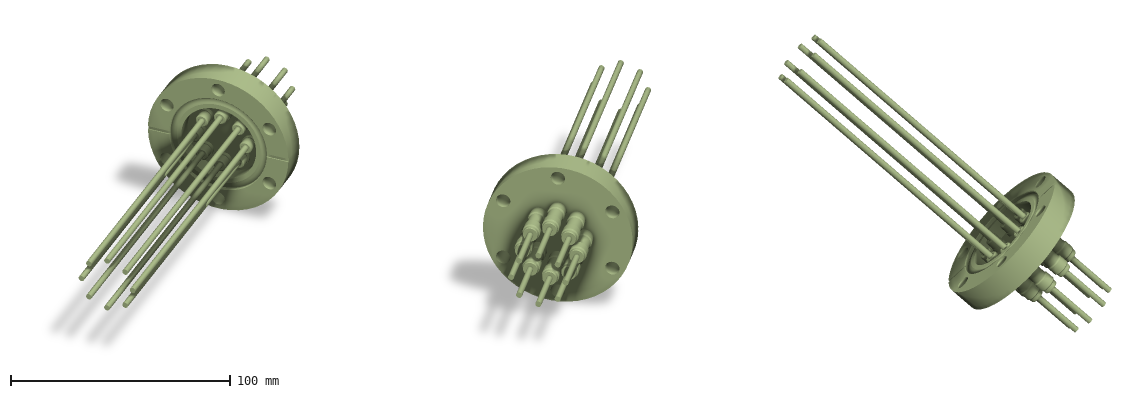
import cadquery as cq
length = 184.2
wire_front = -length / 2
wire_rear = length / 2
flange_thickness = 12.7
rear_wire_length = 43.5
flange_rear = wire_rear - rear_wire_length
flange_front = flange_rear - flange_thickness

flange_diameter = 69.8
flange_radius = flange_diameter / 2
bolt_count = 6
bolt_circle_diameter = 58.7
bolt_circle_radius = bolt_circle_diameter / 2
bolt_hole_diameter = 6.6
leak_groove_width = 1.7
leak_groove_depth = 0.5

recess_radius = 24.0
recess_rim_chamfer = 0.4
recess_depth = 1.75
knife_break_radius = 22.1
knife_break_depth = 1.1
knife_radius = 20.8
knife_depth = 0.66
bore_radius = 18.6
bore_depth = 8.0

feed_count = 8
feed_circle_radius = 12.7
wire_radius = 1.38
tube_radius = 3.5
collar_radius = 4.0
edge_chamfer = 0.5
base_length = 4.8
collar_start = 11.5
collar_end = 16.8
tube_rear_length = 18.8
end_taper = 0.2
end_taper_length = 0.5

tube_front_length = 6.3
shoulder_length = 1.8
nose_radius = 3.04
front_chamfer = 0.46
cup_radius = 1.8
cup_depth = 0.5


def depth(below_front):
    """Y position at a depth below the flange's front face."""
    return flange_front + below_front


def revolve_about_y(outline):
    """Solid of revolution about Y from (radius, y) points."""
    points = [(y, radius) for radius, y in outline]
    return cq.Workplane("YZ").polyline(points).close().revolve(360, (0, 0, 0), (1, 0, 0))


def make_blank():
    return (
        cq.Workplane("XZ", origin=(0, flange_front, 0))
        .circle(flange_radius)
        .extrude(-flange_thickness)
    )


def make_recess():
    outline = [
        (0, flange_front),
        (recess_radius + recess_rim_chamfer, flange_front),
        (recess_radius, depth(recess_rim_chamfer)),
        (recess_radius, depth(recess_depth)),
        (knife_break_radius, depth(knife_break_depth)),
        (knife_radius, depth(knife_depth)),
        (bore_radius, depth(knife_depth)),
        (bore_radius, depth(bore_depth)),
        (0, depth(bore_depth)),
    ]
    return revolve_about_y(outline)


def make_bolt_holes():
    return (
        cq.Workplane("XZ", origin=(0, flange_front, 0))
        .polarArray(bolt_circle_radius, 90, 360, bolt_count)
        .circle(bolt_hole_diameter / 2)
        .extrude(-flange_thickness)
    )


def make_leak_groove():
    """Bar across the front face; it is longer than the flange so that it cuts through the rim."""
    return (
        cq.Workplane("XY", origin=(0, flange_front, 0))
        .box(3 * flange_radius, 2 * leak_groove_depth, leak_groove_width)
    )


def make_feedthrough():
    floor = depth(bore_depth)
    tube_front = floor - tube_front_length
    tube_rear = flange_rear + tube_rear_length
    outline = [
        (0, wire_front),
        (wire_radius, wire_front),
        (wire_radius, tube_front + cup_depth),
        (cup_radius, tube_front + cup_depth),
        (cup_radius, tube_front),
        (nose_radius - front_chamfer, tube_front),
        (nose_radius, tube_front + front_chamfer),
        (nose_radius, floor - shoulder_length),
        (tube_radius, floor - shoulder_length),
        (tube_radius, flange_rear),
        (collar_radius, flange_rear),
        (collar_radius, flange_rear + base_length - edge_chamfer),
        (tube_radius, flange_rear + base_length),
        (tube_radius, flange_rear + collar_start),
        (collar_radius, flange_rear + collar_start + edge_chamfer),
        (collar_radius, flange_rear + collar_end - edge_chamfer),
        (tube_radius, flange_rear + collar_end),
        (tube_radius, tube_rear - end_taper_length),
        (tube_radius - end_taper, tube_rear),
        (wire_radius, tube_rear),
        (wire_radius, wire_rear),
        (0, wire_rear),
    ]
    return revolve_about_y(outline)


result = make_blank().cut(make_leak_groove()).cut(make_bolt_holes()).cut(make_recess())
feedthrough = make_feedthrough().translate((0, 0, feed_circle_radius))
for i in range(feed_count):
    result = result.union(feedthrough.rotate((0, 0, 0), (0, 1, 0), i * 360 / feed_count))